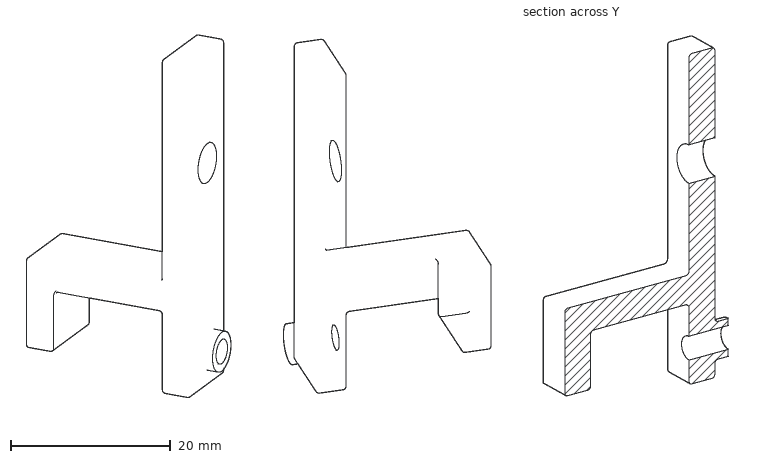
import cadquery as cq

height = 45.0
width = 10.0
plate_thickness = 4.0
body_length = 23.0

arm_top = 15.0
arm_thickness = 4.0
hook_thickness = 4.0
hook_bottom = 3.0

pin_diameter = 5.2
pin_length = 2.02
pin_height = 5.0
bore_diameter = 3.2
hole_diameter = 5.2
hole_height = 30.0

edge_radius = 0.5
tolerance = 0.005

plate_inner_x = body_length - plate_thickness
arm_underside = arm_top - arm_thickness


def near(a, b):
    return abs(a - b) < tolerance


def is_centered_at(edge, x, z):
    """True when the centre of the edge lies at the given X and Z."""
    center = edge.Center()
    return near(center.x, x) and near(center.z, z)


def is_lower_inside_corner(edge):
    """The two concave corners under the arm."""
    return any(is_centered_at(edge, x, arm_underside) for x in (hook_thickness, plate_inner_x))


def is_sharp_hook_edge(edge):
    """Side edges along the inner face and the bottom of the hook, which stay sharp."""
    center = edge.Center()
    on_side = near(abs(center.y), width / 2)
    on_inner_face = near(center.x, hook_thickness)
    on_bottom = near(center.z, hook_bottom)
    return on_side and (on_inner_face or on_bottom)


def bracket_blank():
    """Side outline of plate, arm and hook, extruded across the width."""
    return (
        cq.Workplane("XZ")
        .moveTo(0, hook_bottom)
        .lineTo(hook_thickness, hook_bottom)
        .lineTo(hook_thickness, arm_underside)
        .lineTo(plate_inner_x, arm_underside)
        .lineTo(plate_inner_x, 0)
        .lineTo(body_length, 0)
        .lineTo(body_length, height)
        .lineTo(plate_inner_x, height)
        .lineTo(plate_inner_x, arm_top)
        .lineTo(0, arm_top)
        .close()
        .extrude(width / 2, both=True)
    )



def round_edges(body):
    """Round the outer edges first, then blend the corners under the arm."""
    outer_edges = body.edges().filter(lambda e: not (is_lower_inside_corner(e) or is_sharp_hook_edge(e)))
    body = outer_edges.fillet(edge_radius)
    return body.edges().filter(is_lower_inside_corner).fillet(edge_radius)


def x_cylinder(diameter, start_x, length, z):
    """Cylinder along +X, centred on the width."""
    return cq.Workplane("YZ", origin=(start_x, 0, z)).circle(diameter / 2).extrude(length)


def add_pin(body):
    """Locating pin on the back of the plate with a blended root and a bore right through."""
    pin_start = body_length - plate_thickness / 2
    pin = x_cylinder(pin_diameter, pin_start, plate_thickness / 2 + pin_length, pin_height)
    body = body.union(pin)
    root = body.edges("%CIRCLE").filter(lambda e: is_centered_at(e, body_length, pin_height))
    body = root.fillet(edge_radius)
    bore = x_cylinder(bore_diameter, plate_inner_x, plate_thickness + pin_length, pin_height)
    return body.cut(bore)


def cut_plate_hole(body):
    return body.cut(x_cylinder(hole_diameter, plate_inner_x, plate_thickness, hole_height))


result = cut_plate_hole(add_pin(round_edges(bracket_blank())))